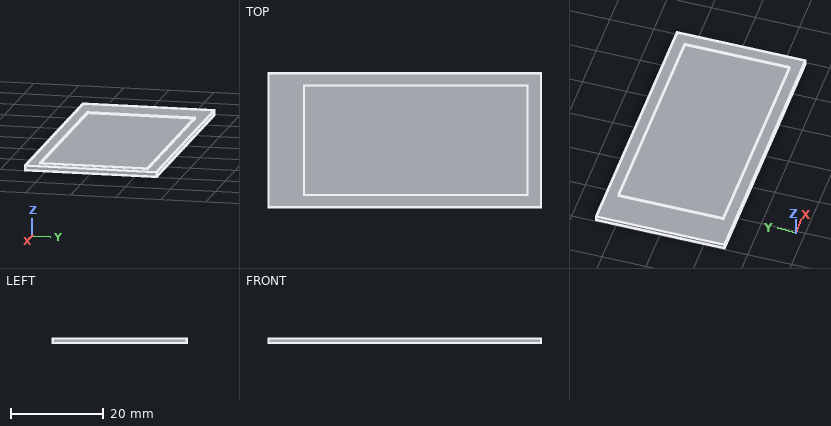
import cadquery as cq

length = 59.2
width = 29.2
thickness = 1.05

left_margin = 7.7
right_margin = 2.95
side_margin = 2.65
recess_depth = 0.2

recess_length = length - left_margin - right_margin
recess_width = width - 2 * side_margin
recess_center_x = (left_margin - right_margin) / 2

plate = cq.Workplane("XY").box(length, width, thickness)

recess = (
    cq.Workplane("XY")
    .workplane(offset=thickness / 2 - recess_depth)
    .center(recess_center_x, 0)
    .rect(recess_length, recess_width)
    .extrude(recess_depth)
)

result = plate.cut(recess)